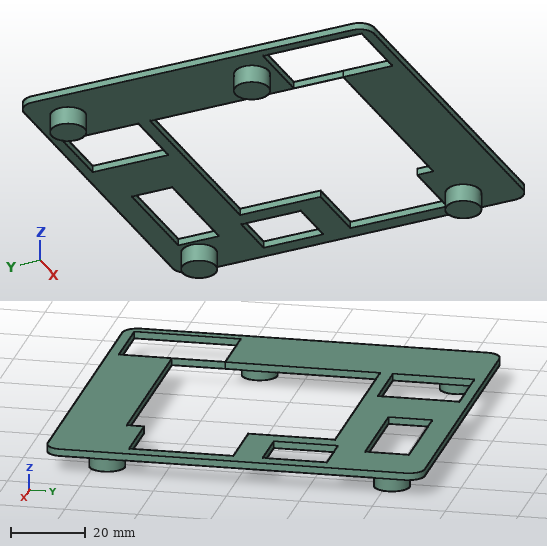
import cadquery as cq

plate_width = 103.1
plate_length = 103.4
plate_thickness = 2.0
corner_radius = 4.3
total_height = 7.0

post_diameter = 9.7
post_height = total_height - plate_thickness
left_post_x = -40.8
right_post_x = 42.4
back_post_y = 41.7
left_front_post_y = -12.6
right_front_post_y = -36.4
post_centres = [
    (left_post_x, back_post_y),
    (right_post_x, back_post_y),
    (left_post_x, left_front_post_y),
    (right_post_x, right_front_post_y),
]

key_pitch = 19.0
main_side = 3 * key_pitch
main_left = -28.9
main_front = -34.1
main_right = main_left + main_side
bay_right = main_right + key_pitch
bay_front = main_front + key_pitch / 4
bay_length = 1.5 * key_pitch

back_left_window_length = 22.3
back_left_window_front = 26.5

back_right_window_left = 6.7
back_right_window_front = 33.0
back_right_window_width = 29.6
back_right_window_length = 12.0

right_window_width = 14.2
right_window_front = 7.2
right_window_length = 17.6

thin_wall = 0.2
front_left_window_width = 19.5
front_left_window_front = -48.7
front_left_window_length = 29.1

openings = [
    (main_left, main_front, main_side, main_side),
    (main_right, bay_front, key_pitch, bay_length),
    (main_left, back_left_window_front, key_pitch, back_left_window_length),
    (back_right_window_left, back_right_window_front, back_right_window_width, back_right_window_length),
    (bay_right - right_window_width, right_window_front, right_window_width, right_window_length),
    (main_left - thin_wall - front_left_window_width, front_left_window_front,
     front_left_window_width, front_left_window_length),
]


def make_plate():
    """Flat plate with rounded corners."""
    plate = cq.Workplane("XY").box(plate_width, plate_length, plate_thickness, centered=(True, True, False))
    return plate.edges("|Z").fillet(corner_radius)


def make_opening(left, front, width, length):
    """Rectangular cutter as thick as the plate."""
    cutter = cq.Workplane("XY").box(width, length, plate_thickness, centered=False)
    return cutter.translate((left, front, 0))


def make_posts():
    """Round posts reaching down from the underside of the plate."""
    return cq.Workplane("XY").pushPoints(post_centres).circle(post_diameter / 2).extrude(-post_height)


result = make_plate()
for opening in openings:
    result = result.cut(make_opening(*opening))
result = result.union(make_posts())